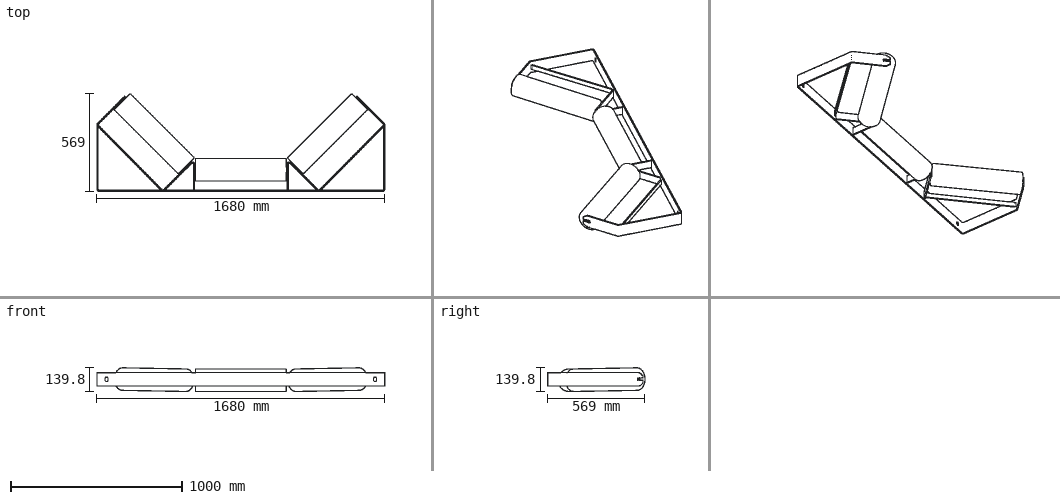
import cadquery as cq
import math


thickness = 8
bend_radius = 10
frame_width = 1680
frame_height = 80
bracket_height = 50
strut_height = 30
strut_foot_x = 458
strut_top_drop = 6

roller_diameter = 133
roller_length = 530
roller_fillet = 5
hub_diameter = 30
end_gap = 4
axle_diameter = 20
axle_flats = 14

wing_angle = 45
wing_tilt = 0.735
inner_axle_z = -5
middle_axle_y = 126.5
wing_inner_x = 315
wing_inner_y = 146.5

arm_past_axle = 33
arm_corner_length = 26
arm_corner_height = 18
hole_x = 783
hole_width = 18
hole_height = 24

half_bar = thickness / 2
span = roller_length + 2 * end_gap
axle_length = span + 2 * thickness
tilt_slope = math.sin(math.radians(wing_tilt))
cos_wing = math.cos(math.radians(wing_angle))
sin_wing = math.sin(math.radians(wing_angle))


def wing_point(along, across):
    """XY point at a distance along the right-hand wing axis and across it, towards +Y."""
    return (wing_inner_x + along * cos_wing - across * sin_wing,
            wing_inner_y + along * sin_wing + across * cos_wing)


def across_to_x(point, x):
    """Point at the given X on the line through a point square to the wing axis."""
    return (x, point[1] - (x - point[0]) * cos_wing / sin_wing)


def across_to_y(point, y):
    """Point at the given Y on the line through a point square to the wing axis."""
    return (point[0] - (y - point[1]) * sin_wing / cos_wing, y)


def mirrored(points):
    """The points mirrored in the YZ plane."""
    return [(-x, y) for x, y in points]


def with_mirror(shape):
    """A right-hand shape joined with its mirror image in the YZ plane."""
    return shape.union(shape.mirror("YZ"))



def cylinder_along_x(diameter, length):
    """Cylinder along X, centred on the origin."""
    end = cq.Plane(origin=(-length / 2, 0, 0), xDir=(0, 0, -1), normal=(1, 0, 0))
    return cq.Workplane(end).circle(diameter / 2).extrude(length)


def make_roller():
    """Roller along X, centred on the origin, with end hubs and a flatted axle."""
    shell = cylinder_along_x(roller_diameter, roller_length).edges("%CIRCLE").fillet(roller_fillet)
    hubs = cylinder_along_x(hub_diameter, span)
    flats = cq.Workplane("XY").box(axle_length, axle_diameter, axle_flats)
    axle = cylinder_along_x(axle_diameter, axle_length).intersect(flats)
    return shell.union(hubs).union(axle)


def on_right_wing(shape):
    """Move a shape from the X axis, origin at mid-roller, to the right-hand wing axis."""
    tilted = shape.rotate((0, 0, 0), (0, 1, 0), -wing_tilt)
    turned = tilted.rotate((0, 0, 0), (0, 0, 1), wing_angle)
    middle_x, middle_y = wing_point(span / 2, 0)
    return turned.translate((middle_x, middle_y, inner_axle_z + span / 2 * tilt_slope))


middle_roller = make_roller().translate((0, middle_axle_y, inner_axle_z))
right_wing_roller = on_right_wing(make_roller())
left_wing_roller = right_wing_roller.mirror("YZ")
rollers = [middle_roller, right_wing_roller, left_wing_roller]



def flat_bar(points, height, z=0):
    """Flat bar on edge whose middle line follows the points, with rounded bends."""
    path = cq.Wire.makePolygon([cq.Vector(x, y, z) for x, y in points])
    ends = (points[0], points[-1])
    bends = [
        corner for corner in path.Vertices()
        if min(math.dist((corner.X, corner.Y), end) for end in ends) > thickness
    ]
    if bends:
        path = path.fillet(bend_radius, bends)
    start = path.startPoint()
    section = cq.Plane(origin=start, xDir=(0, 0, 1), normal=path.tangentAt(0))
    return cq.Workplane(section).rect(height, thickness).sweep(cq.Workplane(path))


wall_x = frame_width / 2 - half_bar
arm_tip = wing_point(span + half_bar, arm_past_axle)


def make_outer_bar():
    """Base, two walls and two arms bent from one bar."""
    arm_bend = across_to_x(arm_tip, wall_x)
    right_half = [arm_tip, arm_bend, (wall_x, half_bar)]
    return flat_bar(right_half + mirrored(right_half)[::-1], frame_height)


def make_bracket():
    """Right-hand bracket: a leg beside the middle roller, bent back under the wing roller."""
    leg_x = span / 2 + half_bar
    under_wing = wing_point(-half_bar, 0)
    points = [(leg_x, half_bar), across_to_x(under_wing, leg_x), across_to_y(under_wing, half_bar)]
    return flat_bar(points, bracket_height, z=inner_axle_z)


def make_strut():
    """Right-hand strut under the wing roller, from the base to the top of the wall."""
    foot = (strut_foot_x, half_bar)
    top = (wall_x, across_to_x(arm_tip, wall_x)[1] - strut_top_drop)
    return flat_bar([foot, top], strut_height)


def make_arm_cuts():
    """Sloped corners of the right-hand arm tip and the open slot for the axle."""
    tip = cq.Plane(
        origin=(*wing_point(span + half_bar, 0), 0),
        xDir=(-sin_wing, cos_wing, 0),
        normal=(cos_wing, sin_wing, 0),
    )
    half_height = frame_height / 2
    cuts = cq.Workplane(tip).polyline([
        (arm_past_axle - arm_corner_length, half_height),
        (arm_past_axle, half_height),
        (arm_past_axle, half_height - arm_corner_height),
    ]).close().extrude(thickness, both=True)
    cuts = cuts.union(cuts.mirror("XY"))
    slot_length = 2 * arm_past_axle
    slot = cq.Workplane("XY").box(2 * thickness, slot_length, axle_flats, centered=(True, False, True))
    slot = slot.translate((span / 2 + half_bar, 0, 0))
    return cuts.union(on_right_wing(slot))


def make_holes():
    """Upright oblong mounting holes near the two ends of the base."""
    return (
        cq.Workplane("XZ")
        .pushPoints([(-hole_x, 0), (hole_x, 0)])
        .slot2D(hole_height, hole_width, 90)
        .extrude(-thickness)
    )


frame = make_outer_bar()
frame = frame.union(with_mirror(make_bracket())).union(with_mirror(make_strut()))
frame = frame.cut(with_mirror(make_arm_cuts())).cut(make_holes())
for roller in rollers:
    frame = frame.cut(roller)

result = cq.Compound.makeCompound([frame.val(), *[roller.val() for roller in rollers]])